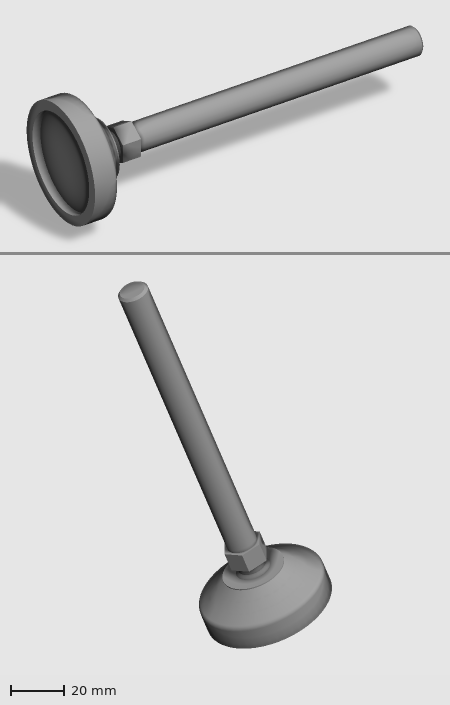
import cadquery as cq
import math

overall_length = 156.0

foot_diameter = 50.0
foot_height = 18.5
foot_top_diameter = 24.5
rim_height = 8.5
shoulder_radius = 2.0
shoulder_angle = 65.0
flank_hollow = 0.4
top_land_height = 0.5

recess_diameter = 41.5
recess_depth = 3.5

neck_diameter = 11.0
neck_root_diameter = 13.6
neck_root_height = 1.3

hex_across_flats = 14.0
hex_length = 8.0
hex_bottom = 23.0
hex_top = hex_bottom + hex_length

rod_diameter = 12.0
rod_end_chamfer = 1.0


def revolve_about_axis(profile):
    """Turn a closed half profile (radius along X, height along Y) about the Y axis."""
    return profile.revolve(360, (0, 0, 0), (0, 1, 0))


def plane_at(height):
    """Plane across the axis at the given height, with its normal along +Y and its own x along Z."""
    return cq.Workplane(cq.Plane(origin=(0, height, 0), xDir=(0, 0, 1), normal=(0, 1, 0)))


def make_foot():
    foot_radius = foot_diameter / 2

    def shoulder_point(degrees):
        turn = math.radians(degrees)
        return (
            foot_radius - shoulder_radius * (1 - math.cos(turn)),
            rim_height + shoulder_radius * math.sin(turn),
        )

    flank_start = shoulder_point(shoulder_angle)
    flank_end = (foot_top_diameter / 2, foot_height - top_land_height)

    profile = (
        cq.Workplane("XY")
        .lineTo(foot_radius, 0)
        .lineTo(foot_radius, rim_height)
        .threePointArc(shoulder_point(shoulder_angle / 2), flank_start)
        .sagittaArc(flank_end, flank_hollow)
        .lineTo(foot_top_diameter / 2, foot_height)
        .lineTo(0, foot_height)
        .close()
    )
    recess = plane_at(0).circle(recess_diameter / 2).extrude(recess_depth)
    return revolve_about_axis(profile).cut(recess)


def make_neck():
    profile = (
        cq.Workplane("XY")
        .moveTo(0, foot_height)
        .lineTo(neck_root_diameter / 2, foot_height)
        .lineTo(neck_diameter / 2, foot_height + neck_root_height)
        .lineTo(neck_diameter / 2, hex_bottom)
        .lineTo(0, hex_bottom)
        .close()
    )
    return revolve_about_axis(profile)


def make_hexagon():
    across_corners = hex_across_flats / math.cos(math.radians(30))
    return plane_at(hex_bottom).polygon(6, across_corners).extrude(hex_length)


def make_rod():
    rod = plane_at(hex_top).circle(rod_diameter / 2).extrude(overall_length - hex_top)
    return rod.faces(">Y").chamfer(rod_end_chamfer)


result = make_foot().union(make_neck()).union(make_hexagon()).union(make_rod())